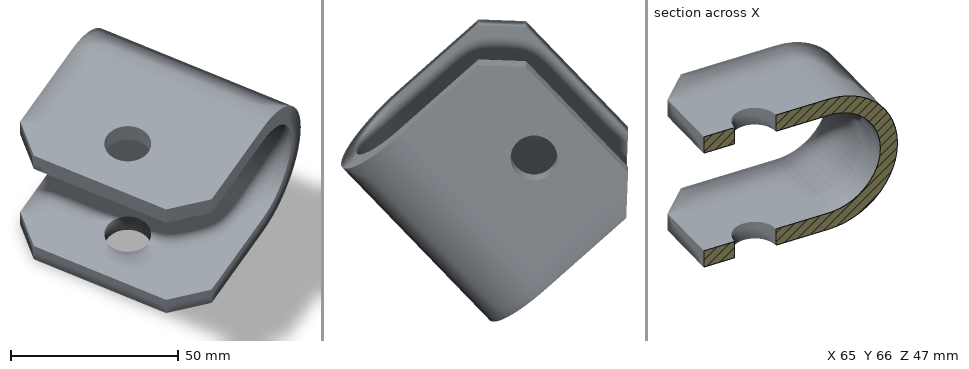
import cadquery as cq

width = 65.0
length = 66.0
height = 47.0
thickness = 6.0
corner_cut = 10.0
hole_diameter = 14.0
hole_to_open_end = 17.5

outer_radius = height / 2
inner_radius = outer_radius - thickness
open_end_y = outer_radius - length
hole_y = open_end_y + hole_to_open_end


def u_solid(radius):
    """Half-round bend with straight sides reaching the open end."""
    return (
        cq.Workplane("YZ")
        .moveTo(open_end_y, -radius)
        .lineTo(0, -radius)
        .threePointArc((radius, 0), (0, radius))
        .lineTo(open_end_y, radius)
        .close()
        .extrude(width / 2, both=True)
    )


strap = u_solid(outer_radius).cut(u_solid(inner_radius))

strap = strap.intersect(
    cq.Workplane("XY")
    .box(width, length, height)
    .translate((0, open_end_y + length / 2, 0))
    .edges("|Z and <Y")
    .chamfer(corner_cut)
)

pin_hole = (
    cq.Workplane("XY")
    .center(0, hole_y)
    .circle(hole_diameter / 2)
    .extrude(height, both=True)
)

result = strap.cut(pin_hole)